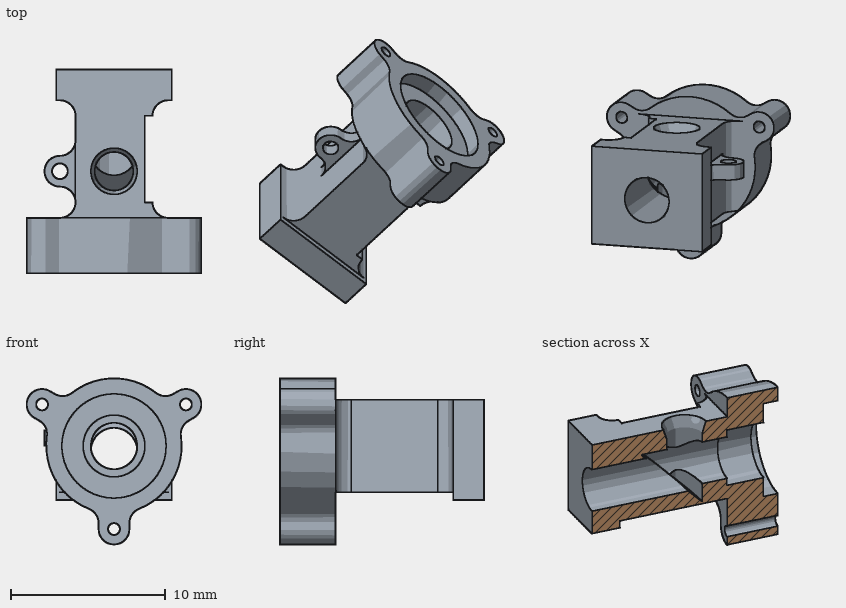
import cadquery as cq
import math

total_length = 13.2
front_thickness = 3.6
rear_thickness = 2.0
blend_radius = 1.0
neck_start = front_thickness + blend_radius
rear_start = total_length - rear_thickness
neck_end = rear_start - blend_radius

flange_radius = 4.38
lug_radius = 1.0
lug_distance = 5.37
lug_hole_diameter = 0.75
lug_angles = (30, 150, 270)

block_half_height = 3.0
neck_half_width = 2.5
recessed_half_width = 1.99
rear_half_width = 3.74
rear_bottom = -3.5

ear_thickness = 1.0
ear_radius = 1.0
ear_overlap = 0.13
ear_hole_diameter = 1.0
ear_x = -(neck_half_width + blend_radius)
cross_y = neck_start + ear_radius + blend_radius

counterbore_diameter = 6.75
counterbore_depth = 1.0
seat_diameter = 4.0
seat_end = 3.6
bore_diameter = 3.0
rear_bore_drop = 0.33
port_diameter = 2.5
port_mouth_diameter = 3.0
port_mouth_depth = 0.79
slope_angle = 45.0
slope_axis_y = 8.18


def box(x0, x1, y0, y1, z0, z1):
    return cq.Workplane("XY").box(x1 - x0, y1 - y0, z1 - z0, centered=False).translate((x0, y0, z0))


def bore(diameter, start, end, z=0.0):
    """Cylinder along +Y between two stations."""
    plane = cq.Workplane("XZ", origin=(0, start, z))
    return plane.circle(diameter / 2).extrude(start - end)


def flange_lug(length):
    """Lug pointing to +X, blended into the round flange on both sides."""
    blend_y = lug_radius + blend_radius
    blend_x = math.sqrt((flange_radius + blend_radius) ** 2 - blend_y**2)
    touch = flange_radius / (flange_radius + blend_radius)
    touch_x = blend_x * touch
    touch_y = blend_y * touch
    to_flange = math.atan2(-blend_y, -blend_x)
    middle = (to_flange - math.pi / 2) / 2
    mid_x = blend_x + blend_radius * math.cos(middle)
    mid_y = blend_y + blend_radius * math.sin(middle)
    lug = (
        cq.Workplane("XZ")
        .moveTo(0, 0)
        .lineTo(touch_x, touch_y)
        .threePointArc((mid_x, mid_y), (blend_x, lug_radius))
        .lineTo(lug_distance, lug_radius)
        .threePointArc((lug_distance + lug_radius, 0), (lug_distance, -lug_radius))
        .lineTo(blend_x, -lug_radius)
        .threePointArc((mid_x, -mid_y), (touch_x, -touch_y))
        .close()
        .extrude(-length)
    )
    return lug.cut(bore(lug_hole_diameter, 0, length).translate((lug_distance, 0, 0)))


def lugged_flange(length):
    flange = bore(2 * flange_radius, 0, length)
    for angle in lug_angles:
        flange = flange.union(flange_lug(length).rotate((0, 0, 0), (0, 1, 0), -angle))
    return flange


def neck():
    """Neck flared by concave blends at both ends, with a recess along its +X side."""
    flared = neck_half_width + blend_radius
    body = box(-flared, flared, front_thickness, rear_start, -block_half_height, block_half_height)
    gap_width = 3 * blend_radius
    gap_x = neck_half_width + gap_width / 2
    for side in (-1, 1):
        gap = (
            cq.Workplane("XY", origin=(side * gap_x, (front_thickness + rear_start) / 2, 0))
            .rect(gap_width, rear_start - front_thickness)
            .extrude(block_half_height, both=True)
            .edges("|Z")
            .fillet(blend_radius)
        )
        body = body.cut(gap)
    recess = box(
        recessed_half_width, flared, neck_start, neck_end, -block_half_height, block_half_height
    )
    flange_shadow = lugged_flange(neck_start)
    behind_flare = box(-flared, flared, neck_start, rear_start, -block_half_height, block_half_height)
    return body.cut(recess).intersect(flange_shadow.union(behind_flare))


def rear_plate():
    return box(
        -rear_half_width, rear_half_width, rear_start, total_length, rear_bottom, block_half_height
    )


def side_ear():
    """Round ear with concave blends into the neck side."""
    root_x = -neck_half_width
    diagonal = blend_radius * math.sqrt(0.5)
    reach = ear_radius + blend_radius
    return (
        cq.Workplane("XY")
        .moveTo(root_x, cross_y - reach)
        .threePointArc(
            (ear_x + diagonal, cross_y - reach + diagonal), (ear_x, cross_y - ear_radius)
        )
        .threePointArc((ear_x - ear_radius, cross_y), (ear_x, cross_y + ear_radius))
        .threePointArc(
            (ear_x + diagonal, cross_y + reach - diagonal), (root_x, cross_y + reach)
        )
        .lineTo(root_x + ear_overlap, cross_y + reach)
        .lineTo(root_x + ear_overlap, cross_y - reach)
        .close()
        .extrude(ear_thickness)
        .cut(
            cq.Workplane("XY")
            .center(ear_x, cross_y)
            .circle(ear_hole_diameter / 2)
            .extrude(ear_thickness)
        )
    )


def port():
    """Vertical port with a tapered mouth."""
    hole = (
        cq.Workplane("XY", origin=(0, cross_y, block_half_height))
        .circle(port_diameter / 2)
        .extrude(-2 * block_half_height)
    )
    mouth = (
        cq.Workplane("XY", origin=(0, cross_y, block_half_height))
        .circle(port_mouth_diameter / 2)
        .workplane(offset=-port_mouth_depth)
        .circle(port_diameter / 2)
        .loft()
    )
    return hole.union(mouth)


def sloped_wall():
    """Solid region behind and below the inclined end wall."""
    size = 2 * total_length
    wall = box(-size, size, 0, size, -size, size)
    return wall.rotate((0, 0, 0), (1, 0, 0), -slope_angle).translate((0, slope_axis_y, 0))


body = lugged_flange(front_thickness).union(neck()).union(rear_plate()).union(side_ear())
front_passage = bore(bore_diameter, 0, total_length).union(port()).cut(sloped_wall())
rear_bore = bore(bore_diameter, front_thickness, total_length, -rear_bore_drop).intersect(sloped_wall())

result = (
    body.cut(bore(counterbore_diameter, 0, counterbore_depth))
    .cut(bore(seat_diameter, 0, seat_end))
    .cut(front_passage)
    .cut(rear_bore)
)